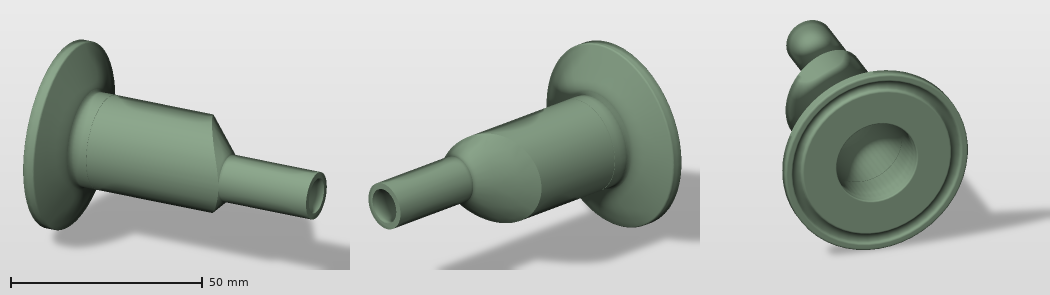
import cadquery as cq
import math

length = 76.2
body_radius = 25.4 / 2
bore_radius = 22.1 / 2
rim_radius = 50.4 / 2

outlet_inset = 0.015
outlet_radius = body_radius / 2
outlet_bore_radius = 9.4 / 2
outlet_offset = outlet_radius + outlet_inset - body_radius
outlet_start = length - 2 * body_radius

ferrule_angle = math.radians(20)
rim_thickness = 3.1
rim_fillet = 0.5
neck_fillet = 1.0
bore_mouth_fillet = 0.4

groove_radius = 21.9
groove_half_width = 1.45
groove_arc_radius = 1.2
groove_lip_fillet = 0.5

joint_x = 12.5
joint_width = 0.2
joint_depth = 0.1

bore_depth = 41.9
floor_radius = 3.7
end_cone_angle = math.radians(60)
corner_radius = 6.2
end_cone_outer_radius = 10.0


def tube(radius, start, end, y=0.0):
    """Solid cylinder along X."""
    return cq.Workplane("YZ", origin=(start, y, 0)).circle(radius).extrude(end - start)


def revolve_about_x(profile):
    """Close a profile drawn in X and radius, and spin it about the X axis."""
    return profile.close().revolve(360, (0, 0, 0), (1, 0, 0))


def fillet_circle(solid, x, radius, size):
    """Fillet the circular edge of the given radius in the plane at x."""
    tolerance = 0.001

    def matches(edge):
        return (
            edge.geomType() == "CIRCLE"
            and abs(edge.Center().x - x) < tolerance
            and abs(edge.radius() - radius) < tolerance
        )

    return solid.edges().filter(matches).fillet(size)


def ferrule_and_body():
    """Flange with a conical back, running into the straight body."""
    neck_x = rim_thickness + (rim_radius - body_radius) * math.tan(ferrule_angle)
    solid = revolve_about_x(
        cq.Workplane("XY")
        .lineTo(0, rim_radius)
        .lineTo(rim_thickness, rim_radius)
        .lineTo(neck_x, body_radius)
        .lineTo(outlet_start, body_radius)
        .lineTo(outlet_start, 0)
    )
    solid = fillet_circle(solid, 0, rim_radius, rim_fillet)
    solid = fillet_circle(solid, rim_thickness, rim_radius, rim_fillet)
    return fillet_circle(solid, neck_x, body_radius, neck_fillet)


def shoulder_envelope():
    """45 degree cone on the outlet axis that bevels the end of the body."""
    envelope_radius = outlet_radius + outlet_start
    return (
        cq.Workplane("YZ", origin=(0, outlet_offset, 0))
        .circle(envelope_radius)
        .workplane(offset=outlet_start)
        .circle(outlet_radius)
        .loft()
    )


def cut_gasket_groove(solid):
    """Round-bottomed groove with sloping walls and rounded lips."""
    arc_half_width = groove_arc_radius * math.cos(ferrule_angle)
    arc_start = (groove_half_width - arc_half_width) / math.tan(ferrule_angle)
    groove_depth = arc_start + groove_arc_radius * (1 - math.sin(ferrule_angle))
    groove = revolve_about_x(
        cq.Workplane("XY")
        .moveTo(0, groove_radius - groove_half_width)
        .lineTo(arc_start, groove_radius - arc_half_width)
        .threePointArc((groove_depth, groove_radius), (arc_start, groove_radius + arc_half_width))
        .lineTo(0, groove_radius + groove_half_width)
    )
    solid = solid.cut(groove)
    for side in (-1, 1):
        lip_radius = groove_radius + side * groove_half_width
        solid = fillet_circle(solid, 0, lip_radius, groove_lip_fillet)
    return solid


def joint_ring(wall_radius):
    """Thin ring straddling a cylindrical wall at the joint."""
    joint_end = joint_x + joint_width
    core = tube(wall_radius - joint_depth, joint_x, joint_end)
    return tube(wall_radius + joint_depth, joint_x, joint_end).cut(core)


def main_bore():
    """Blind bore whose end narrows through tangent arcs and a short cone."""
    sin_cone = math.sin(end_cone_angle)
    cos_cone = math.cos(end_cone_angle)
    half_angle = end_cone_angle / 2

    corner_x = bore_depth - corner_radius
    corner_end = (corner_x + corner_radius * cos_cone, floor_radius + corner_radius * sin_cone)
    corner_middle = (
        corner_x + corner_radius * math.cos(half_angle),
        floor_radius + corner_radius * math.sin(half_angle),
    )

    cone_rise = end_cone_outer_radius - corner_end[1]
    blend_end_x = corner_end[0] - cone_rise * math.tan(end_cone_angle)
    blend_radius = (bore_radius - end_cone_outer_radius) / (1 - sin_cone)
    blend_x = blend_end_x - blend_radius * cos_cone
    blend_angle = (end_cone_angle + math.pi / 2) / 2
    blend_middle = (
        blend_x + blend_radius * math.cos(blend_angle),
        bore_radius - blend_radius * (1 - math.sin(blend_angle)),
    )
    return revolve_about_x(
        cq.Workplane("XY")
        .lineTo(bore_depth, 0)
        .lineTo(bore_depth, floor_radius)
        .threePointArc(corner_middle, corner_end)
        .lineTo(blend_end_x, end_cone_outer_radius)
        .threePointArc(blend_middle, (blend_x, bore_radius))
        .lineTo(0, bore_radius)
    )


solid = ferrule_and_body().intersect(shoulder_envelope())
solid = solid.union(tube(outlet_radius, bore_depth, length, outlet_offset))
solid = cut_gasket_groove(solid)
solid = solid.cut(main_bore())
solid = fillet_circle(solid, 0, bore_radius, bore_mouth_fillet)
for wall_radius in (body_radius, bore_radius):
    solid = solid.cut(joint_ring(wall_radius))

outlet_bore_start = bore_depth / 2
result = solid.cut(tube(outlet_bore_radius, outlet_bore_start, length, outlet_offset))